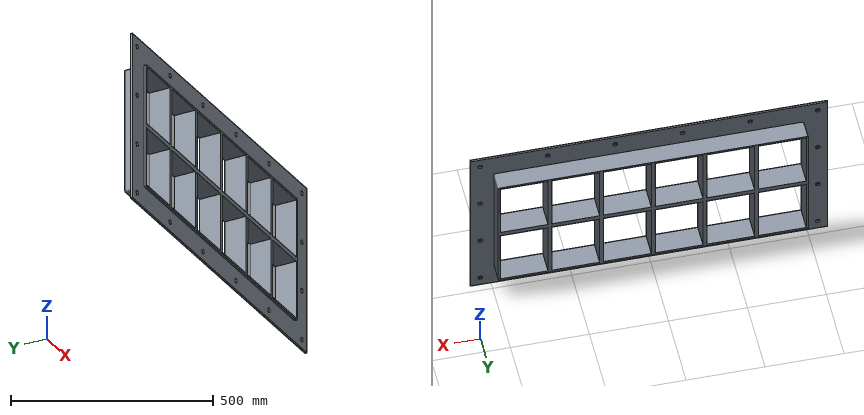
import cadquery as cq

flange_length = 905.0
flange_height = 463.0
flange_thickness = 5.0
flange_margin = 60.0

frame_depth = 60.0
frame_projection = 5.0
frame_wall = 5.0
frame_corner_radius = 5.0
frame_length = flange_length - 2 * flange_margin
frame_height = flange_height - 2 * flange_margin

columns = 6
rows = 2
upright_thickness = 10.0
crossbar_thickness = 13.0
opening_width = (frame_length - 2 * frame_wall - (columns - 1) * upright_thickness) / columns
opening_height = (frame_height - 2 * frame_wall - (rows - 1) * crossbar_thickness) / rows

hole_diameter = 11.0
hole_inset = 25.0
holes_along_length = 6
holes_along_height = 4
hole_pitch_x = (flange_length - 2 * hole_inset) / (holes_along_length - 1)
hole_pitch_z = (flange_height - 2 * hole_inset) / (holes_along_height - 1)

frame_front = -frame_depth / 2
flange_front = frame_front + frame_projection


def plate(length, height, front, depth):
    """Centred rectangular block from the plane Y = front, extending toward +Y."""
    return (
        cq.Workplane("XZ", origin=(0, front, 0))
        .rect(length, height)
        .extrude(-depth)
    )


def hole_centers():
    """Perimeter positions of a regular grid of holes."""
    centers = []
    for column in range(holes_along_length):
        for row in range(holes_along_height):
            on_side = column in (0, holes_along_length - 1)
            on_end = row in (0, holes_along_height - 1)
            if on_side or on_end:
                x = -flange_length / 2 + hole_inset + column * hole_pitch_x
                z = -flange_height / 2 + hole_inset + row * hole_pitch_z
                centers.append((x, z))
    return centers


def make_flange():
    holes = (
        cq.Workplane("XZ", origin=(0, flange_front, 0))
        .pushPoints(hole_centers())
        .circle(hole_diameter / 2)
        .extrude(-flange_thickness)
    )
    return plate(flange_length, flange_height, flange_front, flange_thickness).cut(holes)


def make_frame():
    block = plate(frame_length, frame_height, frame_front, frame_depth)
    return block.edges("|Y").fillet(frame_corner_radius)


def make_openings():
    return (
        cq.Workplane("XZ", origin=(0, frame_front, 0))
        .rarray(opening_width + upright_thickness, opening_height + crossbar_thickness, columns, rows)
        .rect(opening_width, opening_height)
        .extrude(-frame_depth)
    )


result = make_flange().union(make_frame()).cut(make_openings())